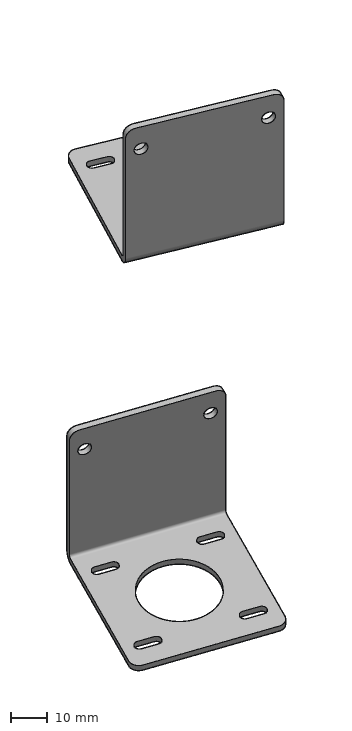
import cadquery as cq

length = 48.0
width = 46.0
height = 50.0
thickness = 2.0

inner_bend_radius = 1.0
outer_bend_radius = inner_bend_radius + thickness
corner_radius = 3.0

opening_diameter = 24.0
opening_x = width / 2
slot_pitch = 31.0
slot_length = 8.0
slot_width = 3.0

mount_hole_diameter = 4.0
mount_hole_pitch = 37.0
mount_hole_z = 42.0


def bent_sheet():
    """L-shaped sheet, base on Z = 0, free base edge at X = 0, centred on Y."""
    block = cq.Workplane("XY").box(length, width, height, centered=(False, True, False))
    block = block.edges("|Y and >X and <Z").fillet(outer_bend_radius)
    inside = (
        cq.Workplane("XY")
        .box(length - thickness, width, height - thickness, centered=(False, True, False))
        .edges("|Y and >X and <Z")
        .fillet(inner_bend_radius)
        .translate((0, 0, thickness))
    )
    return block.cut(inside)


def round_free_corners(sheet):
    sheet = sheet.edges("|Z and <X").fillet(corner_radius)
    return sheet.edges("|X and >Z").fillet(corner_radius)


def base_cutouts():
    base = cq.Workplane("XY").center(opening_x, 0)
    opening = base.circle(opening_diameter / 2).extrude(thickness)
    slots = (
        base.rarray(slot_pitch, slot_pitch, 2, 2)
        .slot2D(slot_length, slot_width, 90)
        .extrude(thickness)
    )
    return opening.union(slots)


def mount_holes():
    return (
        cq.Workplane("YZ", origin=(length - thickness, 0, mount_hole_z))
        .rarray(mount_hole_pitch, 0.5, 2, 1)
        .circle(mount_hole_diameter / 2)
        .extrude(thickness)
    )


result = round_free_corners(bent_sheet()).cut(base_cutouts()).cut(mount_holes())